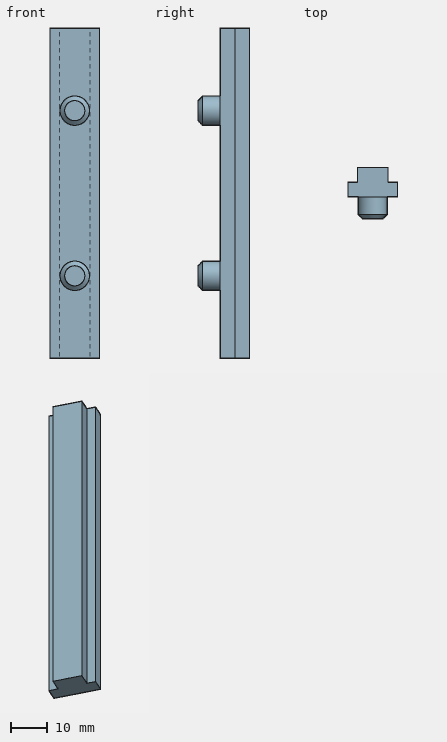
import cadquery as cq

bar_length = 90.0
flange_width = 13.5
flange_thickness = 4.05
rib_width = 8.4
rib_height = 4.0

pin_diameter = 8.0
pin_length = 6.0
pin_chamfer = 1.3
pin_spacing = bar_length / 2


def make_bar():
    """T-section bar with its front face on Y = 0 and its rib toward +Y."""
    flange = cq.Workplane("XY").box(
        flange_width, flange_thickness, bar_length, centered=(True, False, True)
    )
    rib = (
        cq.Workplane("XY")
        .box(rib_width, rib_height, bar_length, centered=(True, False, True))
        .translate((0, flange_thickness, 0))
    )
    return flange.union(rib)


def make_pin(height):
    """Round pin pointing toward -Y from the front face, chamfered at its free end."""
    return (
        cq.Workplane("XZ", origin=(0, 0, height))
        .circle(pin_diameter / 2)
        .extrude(pin_length)
        .faces("<Y")
        .chamfer(pin_chamfer)
    )


bar = make_bar()

pins = []
for side in (-1, 1):
    pins.append(make_pin(side * pin_spacing / 2).val())

result = cq.Compound.makeCompound([bar.val(), *pins])